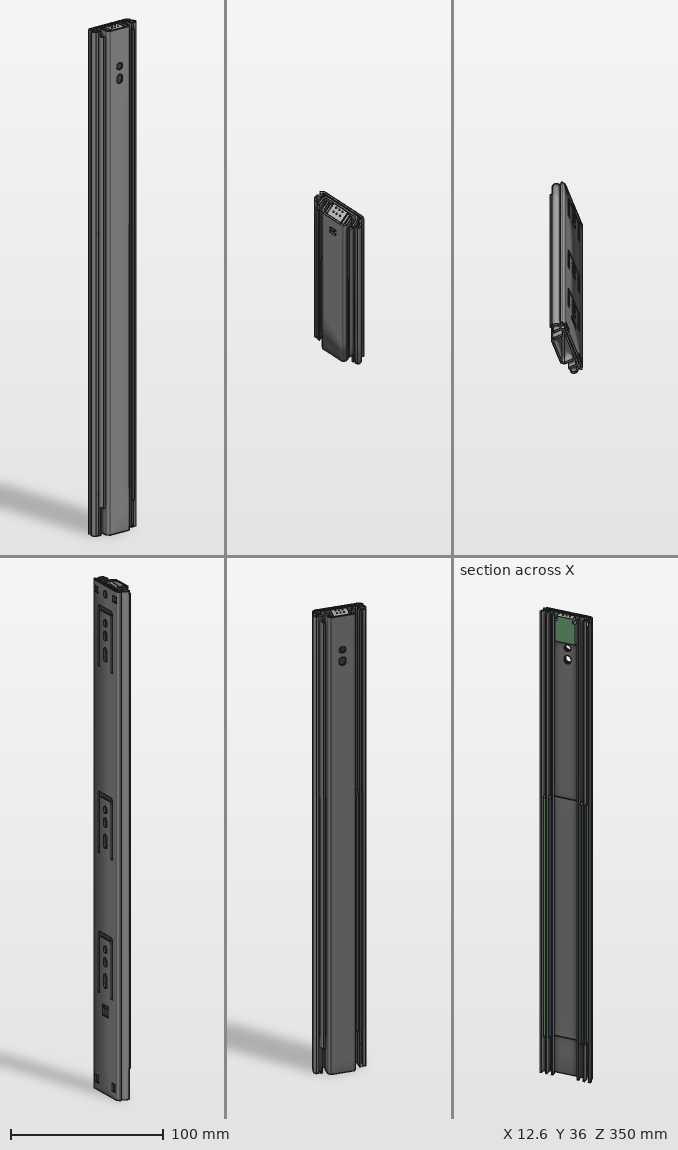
import cadquery as cq


LENGTH = 350
WIDTH = 36.0
SHEET = 1.12
HALF_SHEET = SHEET / 2
INSIDE_DEPTH = 11.5
DEPTH = INSIDE_DEPTH + SHEET

OUTER_WEB_EDGE = 15.0
OUTER_CORNER = (1.8, 16.8)
OUTER_NECK = (2.8, 15.5)
RACE_START = (4.0, 15.5)
RACE_CREST = (6.3, WIDTH / 2 - HALF_SHEET)
RACE_END = (2 * RACE_CREST[0] - RACE_START[0], RACE_START[1])

MIDDLE_WEB_X = 2.35
MIDDLE_WEB_EDGE = 12.2
MIDDLE_FLANGE_Y = 13.3
MIDDLE_BEND_X = 4.0
MIDDLE_FLARE_X = 9.0
MIDDLE_TIP = (12.0, 12.2)
LIP_BOTTOM = 19.5
LIP_TOP = 346.5
MIDDLE_WINDOW_Z = 168.5
MIDDLE_WINDOW_SIZE = (7, 9.0)

INNER_WEB_X = DEPTH - HALF_SHEET
INNER_WEB_EDGE = 7.7
INNER_FLANGE_Y = 9.0
INNER_BEND_X = 10.5
INNER_TIP_X = 5.0

TONGUE_TOPS = (334.5, 206.0, 110.0)
TONGUE_LENGTH = 42.5
TONGUE_HALF_WIDTH = 7.7
TONGUE_GAP = 2.0
TONGUE_TIP_GAP = 3.0
SLOT_CORNER = 2.0
TONGUE_CORNER = 1.5
HOLE_WIDTH = 5.0
ROUND_HOLE_DROP = 10.5
SHORT_SLOT_DROP = 19.2
SHORT_SLOT_LENGTH = 6.3
LONG_SLOT_DROP = 32.2
LONG_SLOT_LENGTH = 9.8
END_HOLE_Z = 344.0
TOP_WINDOW_Y = 12.5
TOP_WINDOW_Z = 344.0
TOP_WINDOW_SIZE = (5.0, 4.2)
FOOT_WINDOW_Y = 11.2
FOOT_WINDOW_Z = 7.5
FOOT_WINDOW_SIZE = (4.5, 5.2)
STOP_WINDOW_Z = 57.0
STOP_WINDOW_SIZE = (7.7, 7.5)
STOP_LIP_HEIGHT = 2.0

CAGE_BOTTOM = 28
CAGE_TOP = 210
OUTER_CAGE_X = (4.5, 7.7)
OUTER_CAGE_Y = (14, 15.5)
INNER_CAGE_X = (3.0, 9.5)
INNER_CAGE_Y = (10.5, 12.0)
INNER_CAGE_WEB = 0.7

BLOCK_X = (3.0, INSIDE_DEPTH)
BLOCK_BASE_WIDTH = 14.7
BLOCK_BASE_LENGTH = 16.0
BLOCK_HEAD_WIDTH = 11.2
BLOCK_HEAD_HEIGHT = 3.5
BLOCK_HOLE = 0.7
BLOCK_HOLE_DEPTH = 2.8
BLOCK_HOLE_PITCH_X = 3.0
BLOCK_HOLE_PITCH_Y = 2.5
BLOCK_HOLE_COLUMNS = 2
BLOCK_HOLE_ROWS = 3


def mirrored(point):
    """Return a section point reflected to the other side of Y = 0."""
    return (point[0], -point[1])


def rolled_rail(centreline):
    """Extrude an open section centreline, thickened to the sheet, along the full length."""
    return centreline.wire().offset2D(HALF_SHEET).extrude(LENGTH)


def box(x_range, y_range, z_range):
    """Make a box between the given limits."""
    spans = [high - low for low, high in (x_range, y_range, z_range)]
    corner = (x_range[0], y_range[0], z_range[0])
    return cq.Workplane().box(*spans, centered=False).translate(corner)


def trim_front(rail, x, bottom=0, top=LENGTH):
    """Cut off everything in front of a given X between two heights."""
    return rail.cut(box((x, DEPTH + SHEET), (-WIDTH, WIDTH), (bottom, top)))


def web_cut(y, z, size, x_range=(0, SHEET)):
    """Make a rectangular cutter centred at (y, z) on a web."""
    width, height = size
    return box(x_range, (y - width / 2, y + width / 2), (z - height / 2, z + height / 2))


def slot_cut(z, length, x_range=(0, SHEET)):
    """Make a round-ended upright cutter on the centre of a web; a round hole if length is the width."""
    plane = cq.Workplane("YZ", origin=(x_range[0], 0, z))
    if length > HOLE_WIDTH:
        sketch = plane.slot2D(length, HOLE_WIDTH, 90)
    else:
        sketch = plane.circle(HOLE_WIDTH / 2)
    return sketch.extrude(x_range[1] - x_range[0])


def tongue_cut(top):
    """Make the inverted-U cutter that frees a tongue in the outer web."""
    bottom = top - TONGUE_LENGTH
    half_outside = TONGUE_HALF_WIDTH + TONGUE_GAP
    around = box((0, SHEET), (-half_outside, half_outside), (bottom, top))
    around = around.edges("|X and >Z").fillet(SLOT_CORNER)
    tongue = box((0, SHEET), (-TONGUE_HALF_WIDTH, TONGUE_HALF_WIDTH), (bottom, top - TONGUE_TIP_GAP))
    tongue = tongue.edges("|X and >Z").fillet(TONGUE_CORNER)
    return around.cut(tongue)


def stop_window_cut():
    """Make the stop window cutter, which leaves a half-thickness lip along the window's top."""
    window = web_cut(0, STOP_WINDOW_Z, STOP_WINDOW_SIZE)
    width, height = STOP_WINDOW_SIZE
    lip_z = STOP_WINDOW_Z + (height - STOP_LIP_HEIGHT) / 2
    lip = web_cut(0, lip_z, (width, STOP_LIP_HEIGHT), (HALF_SHEET, SHEET))
    return window.cut(lip)


def make_outer_rail():
    """Fixed rail: web, beaded corners and curved ball races, with the mounting openings."""
    edge = (HALF_SHEET, OUTER_WEB_EDGE)
    centreline = (
        cq.Workplane()
        .moveTo(*mirrored(RACE_END))
        .threePointArc(mirrored(RACE_CREST), mirrored(RACE_START))
        .lineTo(*mirrored(OUTER_NECK))
        .lineTo(*mirrored(OUTER_CORNER))
        .lineTo(*mirrored(edge))
        .lineTo(*edge)
        .lineTo(*OUTER_CORNER)
        .lineTo(*OUTER_NECK)
        .lineTo(*RACE_START)
        .threePointArc(RACE_CREST, RACE_END)
    )
    rail = trim_front(rolled_rail(centreline), RACE_END[0])
    for top in TONGUE_TOPS:
        rail = rail.cut(tongue_cut(top))
        rail = rail.cut(slot_cut(top - ROUND_HOLE_DROP, HOLE_WIDTH))
        rail = rail.cut(slot_cut(top - SHORT_SLOT_DROP, SHORT_SLOT_LENGTH))
        rail = rail.cut(slot_cut(top - LONG_SLOT_DROP, LONG_SLOT_LENGTH))
    rail = rail.cut(slot_cut(END_HOLE_Z, HOLE_WIDTH))
    for side in (-1, 1):
        rail = rail.cut(web_cut(side * TOP_WINDOW_Y, TOP_WINDOW_Z, TOP_WINDOW_SIZE))
        rail = rail.cut(web_cut(side * FOOT_WINDOW_Y, FOOT_WINDOW_Z, FOOT_WINDOW_SIZE))
    return rail.cut(stop_window_cut())


def cut_access_holes(rail, web_x):
    """Cut the screw access holes that line up with the top mounting holes of the outer rail."""
    x_range = (web_x - HALF_SHEET, web_x + HALF_SHEET)
    top = TONGUE_TOPS[0]
    rail = rail.cut(slot_cut(top - ROUND_HOLE_DROP, HOLE_WIDTH, x_range))
    return rail.cut(slot_cut(top - SHORT_SLOT_DROP, SHORT_SLOT_LENGTH, x_range))


def make_middle_rail():
    """Middle rail: channel with leaning lips over the inner rail, cut back at both ends."""
    half = [
        (MIDDLE_WEB_X, MIDDLE_WEB_EDGE),
        (MIDDLE_BEND_X, MIDDLE_FLANGE_Y),
        (MIDDLE_FLARE_X, MIDDLE_FLANGE_Y),
        MIDDLE_TIP,
    ]
    points = [mirrored(point) for point in reversed(half)] + half
    rail = trim_front(rolled_rail(cq.Workplane().polyline(points)), MIDDLE_TIP[0])
    rail = trim_front(rail, MIDDLE_FLARE_X, 0, LIP_BOTTOM)
    rail = trim_front(rail, MIDDLE_FLARE_X, LIP_TOP, LENGTH)
    web_faces = (MIDDLE_WEB_X - HALF_SHEET, MIDDLE_WEB_X + HALF_SHEET)
    rail = rail.cut(web_cut(0, MIDDLE_WINDOW_Z, MIDDLE_WINDOW_SIZE, web_faces))
    return cut_access_holes(rail, MIDDLE_WEB_X)


def make_inner_rail():
    """Inner rail: narrow channel facing the outer rail, with bevelled corners."""
    half = [
        (INNER_WEB_X, INNER_WEB_EDGE),
        (INNER_BEND_X, INNER_FLANGE_Y),
        (INNER_TIP_X, INNER_FLANGE_Y),
    ]
    points = [mirrored(point) for point in reversed(half)] + half
    rail = rolled_rail(cq.Workplane().polyline(points))
    return cut_access_holes(rail, INNER_WEB_X)


def make_outer_cage(side):
    """Ball cage strip between the outer and middle rails on one side."""
    y_range = sorted(side * y for y in OUTER_CAGE_Y)
    return box(OUTER_CAGE_X, y_range, (CAGE_BOTTOM, CAGE_TOP))


def make_inner_cage():
    """One-piece channel cage between the middle and inner rails."""
    z_range = (CAGE_BOTTOM, CAGE_TOP)
    inside, outside = INNER_CAGE_Y
    hollow_x = (INNER_CAGE_X[0] + INNER_CAGE_WEB, INNER_CAGE_X[1])
    cage = box(INNER_CAGE_X, (-outside, outside), z_range)
    return cage.cut(box(hollow_x, (-inside, inside), z_range))


def make_end_block():
    """Stepped block inside the top of the inner rail, with a grid of blind holes on top."""
    shoulder_z = LENGTH - BLOCK_HEAD_HEIGHT
    half_base = BLOCK_BASE_WIDTH / 2
    half_head = BLOCK_HEAD_WIDTH / 2
    base = box(BLOCK_X, (-half_base, half_base), (shoulder_z - BLOCK_BASE_LENGTH, shoulder_z))
    block = base.union(box(BLOCK_X, (-half_head, half_head), (shoulder_z, LENGTH)))
    holes = (
        cq.Workplane(origin=(DEPTH / 2, 0, LENGTH - BLOCK_HOLE_DEPTH))
        .rarray(BLOCK_HOLE_PITCH_X, BLOCK_HOLE_PITCH_Y, BLOCK_HOLE_COLUMNS, BLOCK_HOLE_ROWS)
        .circle(BLOCK_HOLE / 2)
        .extrude(BLOCK_HOLE_DEPTH)
    )
    return block.cut(holes)


outer_rail = make_outer_rail()
middle_rail = make_middle_rail()
inner_rail = make_inner_rail()
outer_cages = [make_outer_cage(side) for side in (-1, 1)]
inner_cage = make_inner_cage()
end_block = make_end_block()

result = cq.Compound.makeCompound(
    [
        outer_rail.val(),
        middle_rail.val(),
        inner_rail.val(),
        *[cage.val() for cage in outer_cages],
        inner_cage.val(),
        end_block.val(),
    ]
)